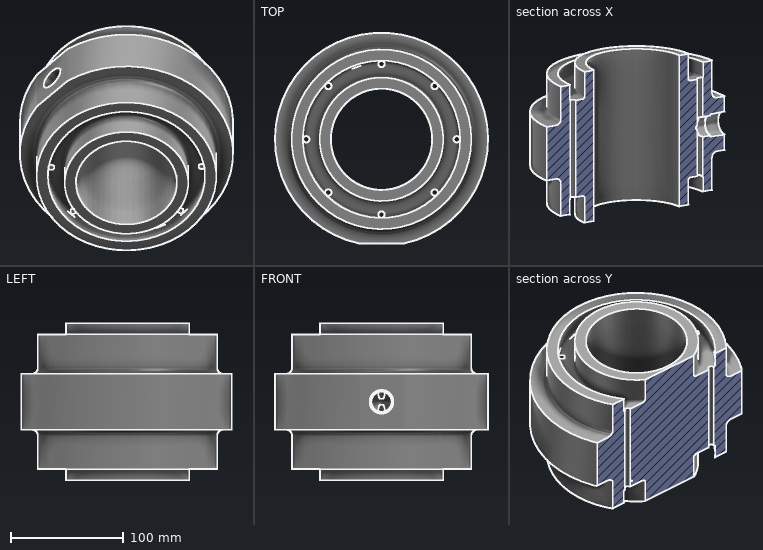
import cadquery as cq
import math

bore_radius = 45.0
sleeve_radius = 55.0
sleeve_half_height = 70.0

drum_radius = 80.0
drum_half_height = 60.0
flange_radius = 95.0
flange_half_height = 25.0
flange_fillet = 5.0

pocket_radius = 70.0
pocket_depth = 15.0
pocket_fillet = 2.0
pocket_floor = drum_half_height - pocket_depth

axial_hole_count = 8
axial_hole_diameter = 5.5
axial_hole_circle_radius = 67.0

flat_distance = 93.0

port_mouth_diameter = 21.2
port_depth = 15.0
port_diameter_taper = 1 / 16
drill_diameter = 18.0
drill_depth = 25.0
drill_tip_angle = 120.0


def make_body():
    """Sleeve, drum and flange with rounded inner corners, as a revolved half mirrored about XY."""
    upper_half = (
        cq.Workplane("XZ")
        .moveTo(bore_radius, 0)
        .lineTo(flange_radius, 0)
        .lineTo(flange_radius, flange_half_height)
        .lineTo(drum_radius + flange_fillet, flange_half_height)
        .tangentArcPoint((-flange_fillet, flange_fillet))
        .lineTo(drum_radius, drum_half_height)
        .lineTo(pocket_radius, drum_half_height)
        .lineTo(pocket_radius, pocket_floor + pocket_fillet)
        .tangentArcPoint((-pocket_fillet, -pocket_fillet))
        .lineTo(sleeve_radius + pocket_fillet, pocket_floor)
        .tangentArcPoint((-pocket_fillet, pocket_fillet))
        .lineTo(sleeve_radius, sleeve_half_height)
        .lineTo(bore_radius, sleeve_half_height)
        .close()
        .revolve(360, (0, 0, 0), (0, 1, 0))
    )
    return upper_half.union(upper_half.mirror("XY")).clean()


def make_axial_holes():
    """Cutter for the circle of holes joining the two pockets."""
    half_length = pocket_floor + pocket_fillet
    return (
        cq.Workplane("XY")
        .polarArray(axial_hole_circle_radius, 0, 360, axial_hole_count)
        .circle(axial_hole_diameter / 2)
        .extrude(half_length, both=True)
    )


def make_flat():
    """Cutter that trims the flange to the flat."""
    trim_depth = flange_radius - flat_distance
    block = cq.Workplane("XY").box(2 * flange_radius, trim_depth, 2 * flange_half_height)
    return block.translate((0, -flat_distance - trim_depth / 2, 0))


def make_port():
    """Cutter for the tapered port and the cone-tipped hole drilled through its floor."""
    mouth_radius = port_mouth_diameter / 2
    floor_radius = (port_mouth_diameter - port_diameter_taper * port_depth) / 2
    drill_radius = drill_diameter / 2
    tip_length = drill_radius / math.tan(math.radians(drill_tip_angle / 2))
    return (
        cq.Workplane("XY")
        .moveTo(0, -flat_distance)
        .lineTo(mouth_radius, -flat_distance)
        .lineTo(floor_radius, -flat_distance + port_depth)
        .lineTo(drill_radius, -flat_distance + port_depth)
        .lineTo(drill_radius, -flat_distance + drill_depth)
        .lineTo(0, -flat_distance + drill_depth + tip_length)
        .close()
        .revolve(360, (0, 0, 0), (0, 1, 0))
    )


result = make_body().cut(make_axial_holes()).cut(make_flat()).cut(make_port())